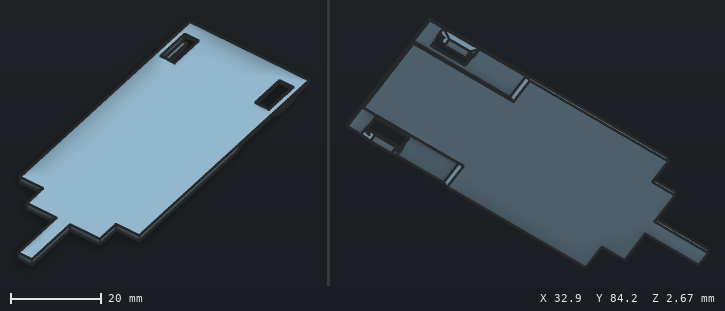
import cadquery as cq

panel_width = 32.85
total_length = 84.25
plate_thickness = 1.67
neck_width = 20.1
neck_length = 6.1
tail_width = 3.8
tail_length = 14.35
panel_length = total_length - neck_length - tail_length

window_width = 3.8
window_length = 9.1
window_side_margin = 1.5
window_back_margin = 3.95

recess_height = 1.0
recess_depth = 6.5
recess_length = 25.75

clip_drop = 1.0
clip_base_width = 2.65
clip_base_length = 9.6
clip_end_taper = 1.0
clip_side_lean = 0.35

back_y = total_length / 2
panel_front_y = back_y - panel_length
neck_front_y = panel_front_y - neck_length
side_x = panel_width / 2
clip_height = recess_height + clip_drop
window_center_y = back_y - window_back_margin - window_length / 2


def box(x_min, x_max, y_min, y_max, z_min, z_max):
    """Axis-aligned box between the given limits."""
    size = (x_max - x_min, y_max - y_min, z_max - z_min)
    return cq.Workplane("XY").box(*size, centered=False).translate((x_min, y_min, z_min))


def centered_slab(width, y_min, y_max):
    """Full-thickness rectangle, centered on X = 0."""
    return box(-width / 2, width / 2, y_min, y_max, 0, plate_thickness)


def make_plate():
    """Panel, neck and tail in one flat plate."""
    panel = centered_slab(panel_width, panel_front_y, back_y)
    neck = centered_slab(neck_width, neck_front_y, panel_front_y)
    tail = centered_slab(tail_width, -total_length / 2, neck_front_y)
    return panel.union(neck).union(tail)


def make_window():
    """Cutter for the window on the -X side."""
    x_min = -side_x + window_side_margin
    y_min = window_center_y - window_length / 2
    return box(x_min, x_min + window_width, y_min, y_min + window_length, 0, plate_thickness)


def make_recess():
    """Cutter for the recess on the -X side, with a 45 degree slope at its front end."""
    front_y = back_y - recess_length
    profile = [
        (back_y, 0),
        (back_y, recess_height),
        (front_y, recess_height),
        (front_y - recess_height, 0),
    ]
    return cq.Workplane("YZ", origin=(-side_x, 0, 0)).polyline(profile).close().extrude(recess_depth)


def make_clip():
    """Clip on the -X side: tapered ends, leaning outer face, inner part kept below the plate."""
    base_half = clip_base_length / 2
    tip_half = base_half - clip_end_taper * clip_height
    side_profile = [
        (-base_half, recess_height),
        (base_half, recess_height),
        (tip_half, -clip_drop),
        (-tip_half, -clip_drop),
    ]
    cross_section = [
        (0, recess_height),
        (clip_base_width, recess_height),
        (clip_base_width, -clip_drop),
        (clip_side_lean * clip_height, -clip_drop),
    ]
    origin = (-side_x, window_center_y, 0)
    tapered = cq.Workplane("YZ", origin=origin).polyline(side_profile).close().extrude(clip_base_width)
    leaning = cq.Workplane("XZ", origin=origin).polyline(cross_section).close().extrude(base_half, both=True)
    return tapered.intersect(leaning).cut(make_window())


def with_mirror_image(body):
    """The body together with its reflection on the +X side."""
    return body.union(body.mirror("YZ"))


plate = make_plate()
plate = plate.cut(with_mirror_image(make_window()))
plate = plate.cut(with_mirror_image(make_recess()))
result = plate.union(with_mirror_image(make_clip()))